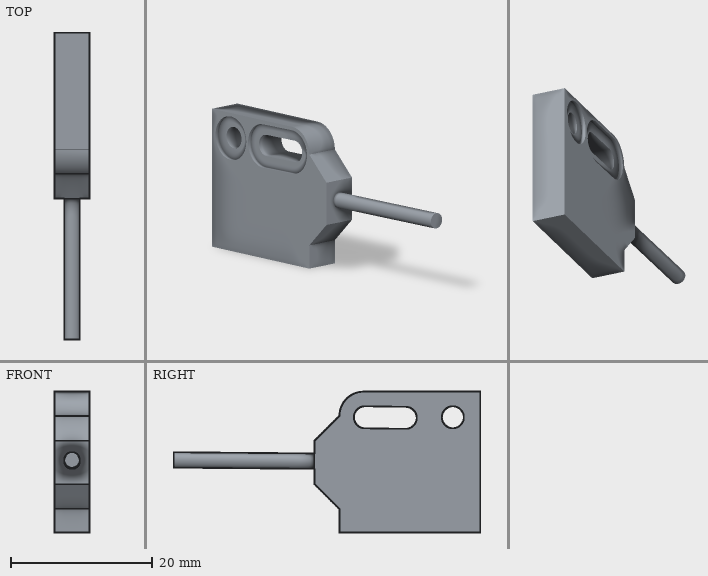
import cadquery as cq
import math

total_length = 43.5
thickness = 5.0
side = 20.0
corner_radius = 3.5

nose_length = 3.52
nose_face_height = 6.15
nose_center_z = 9.95

hole_diameter = 3.1
recess_diameter = 6.3
recess_depth = 0.6
opening_drop = 3.65
hole_inset = 3.9
slot_inset = 13.5
slot_spacing = 5.8
slot_tilt = 0.8
slot_drop = 3.7

cable_diameter = 2.2
cable_start_z = 10.15
cable_rise = 0.17

back_y = total_length / 2
front_y = back_y - side
nose_y = front_y - nose_length
left_x = -thickness / 2
cable_length = total_length - side - nose_length


def make_housing():
    """Square housing with a rounded top front corner and a tapered nose."""
    nose_top = nose_center_z + nose_face_height / 2
    nose_bottom = nose_center_z - nose_face_height / 2
    arc_center_y = front_y + corner_radius
    arc_center_z = side - corner_radius
    arc_reach = corner_radius * math.sqrt(0.5)
    return (
        cq.Workplane("YZ", origin=(left_x, 0, 0))
        .moveTo(back_y, 0)
        .lineTo(back_y, side)
        .lineTo(arc_center_y, side)
        .threePointArc(
            (arc_center_y - arc_reach, arc_center_z + arc_reach),
            (front_y, arc_center_z),
        )
        .lineTo(front_y, nose_top + nose_length)
        .lineTo(nose_y, nose_top)
        .lineTo(nose_y, nose_bottom)
        .lineTo(front_y, nose_bottom - nose_length)
        .lineTo(front_y, 0)
        .close()
        .extrude(thickness)
    )


def round_cut(diameter, depth):
    """Cylinder entering the -X face at the round hole."""
    return (
        cq.Workplane("YZ", origin=(left_x, back_y - hole_inset, side - opening_drop))
        .circle(diameter / 2)
        .extrude(depth)
    )


def slot_cut(width, depth):
    """Slot-shaped prism entering the -X face at the adjustment slot."""
    return (
        cq.Workplane("YZ", origin=(left_x, back_y - slot_inset, side - slot_drop))
        .slot2D(slot_spacing + width, width, -slot_tilt)
        .extrude(depth)
    )


def make_cable():
    """Straight cable between a circle on the nose face and one at the free end."""
    return (
        cq.Workplane("XZ", origin=(0, nose_y, cable_start_z))
        .circle(cable_diameter / 2)
        .workplane(offset=cable_length)
        .center(0, cable_rise)
        .circle(cable_diameter / 2)
        .loft(ruled=True)
    )


result = make_housing()
for make_cut in (round_cut, slot_cut):
    result = result.cut(make_cut(hole_diameter, thickness))
    result = result.cut(make_cut(recess_diameter, recess_depth))
result = result.union(make_cable())